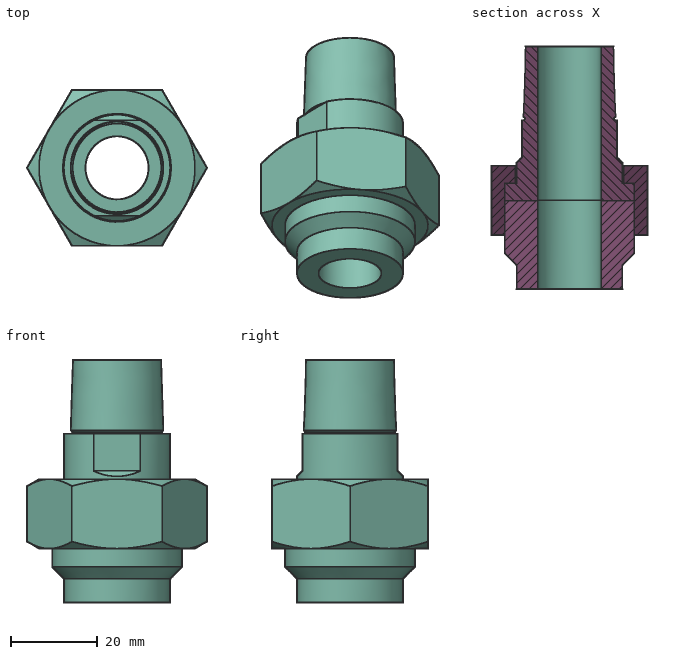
import cadquery as cq
import math

PIPE_END_TOP_Z = 5.5
NUT_BOTTOM_Z = 12.5
NUT_HEIGHT = 16.0
NUT_TOP_Z = NUT_BOTTOM_Z + NUT_HEIGHT
COLLAR_TOP_Z = 39.0
TAPER_BOTTOM_Z = 39.75
TOTAL_HEIGHT = 56.0

BORE_RADIUS = 7.25
PIPE_RADIUS = 12.25
SEAT_RADIUS = 15.0

NUT_ACROSS_FLATS = 36.0
NUT_CORNER_RADIUS = NUT_ACROSS_FLATS / math.sqrt(3)
NUT_CHAMFER_ANGLE = 30.0
NUT_HOLE_CLEARANCE = 0.25
NUT_LIP_THICKNESS = 4.0
NUT_LIP_Z = NUT_TOP_Z - NUT_LIP_THICKNESS

FLANGE_THICKNESS = 4.0
JOINT_Z = NUT_LIP_Z - FLANGE_THICKNESS
TAPER = 1 / 16
TAPER_TOP_RADIUS = 10.2
TAPER_BOTTOM_RADIUS = TAPER_TOP_RADIUS + (TOTAL_HEIGHT - TAPER_BOTTOM_Z) * TAPER / 2
GROOVE_RADIUS = 10.2
GROOVE_MIDDLE_Z = (COLLAR_TOP_Z + TAPER_BOTTOM_Z) / 2
GROOVE_FOOT_RADIUS = GROOVE_RADIUS + (GROOVE_MIDDLE_Z - COLLAR_TOP_Z)
WRENCH_FLAT_WIDTH = 22.0
WRENCH_FLAT_BOTTOM_Z = 30.4


def revolve_profile(points):
    """Turn a closed (radius, height) outline around the Z axis."""
    return cq.Workplane("XZ").polyline(points).close().revolve(360, (0, 0), (0, 1))


def make_lower_tailpiece():
    """Pipe end that widens through a 45 degree cone into the seat inside the nut."""
    cone_rise = SEAT_RADIUS - PIPE_RADIUS
    return revolve_profile([
        (BORE_RADIUS, 0),
        (PIPE_RADIUS, 0),
        (PIPE_RADIUS, PIPE_END_TOP_Z),
        (SEAT_RADIUS, PIPE_END_TOP_Z + cone_rise),
        (SEAT_RADIUS, JOINT_Z),
        (BORE_RADIUS, JOINT_Z),
    ])


def make_wrench_flat_cutter(side):
    """Removes one side of the collar down to a 45 degree run-out; side is +1 or -1 along Y."""
    flat_y = WRENCH_FLAT_WIDTH / 2
    depth = SEAT_RADIUS - flat_y
    section = [
        (side * flat_y, COLLAR_TOP_Z),
        (side * flat_y, WRENCH_FLAT_BOTTOM_Z),
        (side * (flat_y + depth), WRENCH_FLAT_BOTTOM_Z - depth),
        (side * (flat_y + depth), COLLAR_TOP_Z),
    ]
    return cq.Workplane("YZ").polyline(section).close().extrude(PIPE_RADIUS, both=True)


def make_male_tailpiece():
    """Flange held by the nut lip, collar with wrench flats, V groove and tapered end."""
    tailpiece = revolve_profile([
        (BORE_RADIUS, JOINT_Z),
        (SEAT_RADIUS, JOINT_Z),
        (SEAT_RADIUS, NUT_LIP_Z),
        (PIPE_RADIUS, NUT_LIP_Z),
        (PIPE_RADIUS, COLLAR_TOP_Z),
        (GROOVE_FOOT_RADIUS, COLLAR_TOP_Z),
        (GROOVE_RADIUS, GROOVE_MIDDLE_Z),
        (TAPER_BOTTOM_RADIUS, TAPER_BOTTOM_Z),
        (TAPER_TOP_RADIUS, TOTAL_HEIGHT),
        (BORE_RADIUS, TOTAL_HEIGHT),
    ])
    for side in (1, -1):
        tailpiece = tailpiece.cut(make_wrench_flat_cutter(side))
    return tailpiece


def make_nut():
    """Hexagon with both ends chamfered, and a lip at the top of its bore."""
    face_radius = NUT_ACROSS_FLATS / 2
    chamfer_height = (NUT_CORNER_RADIUS - face_radius) * math.tan(math.radians(NUT_CHAMFER_ANGLE))
    hole_radius = PIPE_RADIUS + NUT_HOLE_CLEARANCE
    hexagon = (
        cq.Workplane("XY", origin=(0, 0, NUT_BOTTOM_Z))
        .polygon(6, 2 * NUT_CORNER_RADIUS)
        .extrude(NUT_HEIGHT)
    )
    turned_blank = revolve_profile([
        (SEAT_RADIUS, NUT_BOTTOM_Z),
        (face_radius, NUT_BOTTOM_Z),
        (NUT_CORNER_RADIUS, NUT_BOTTOM_Z + chamfer_height),
        (NUT_CORNER_RADIUS, NUT_TOP_Z - chamfer_height),
        (face_radius, NUT_TOP_Z),
        (hole_radius, NUT_TOP_Z),
        (hole_radius, NUT_LIP_Z),
        (SEAT_RADIUS, NUT_LIP_Z),
    ])
    return hexagon.intersect(turned_blank)


lower_tailpiece = make_lower_tailpiece()
male_tailpiece = make_male_tailpiece()
nut = make_nut()

result = cq.Compound.makeCompound([lower_tailpiece.val(), male_tailpiece.val(), nut.val()])